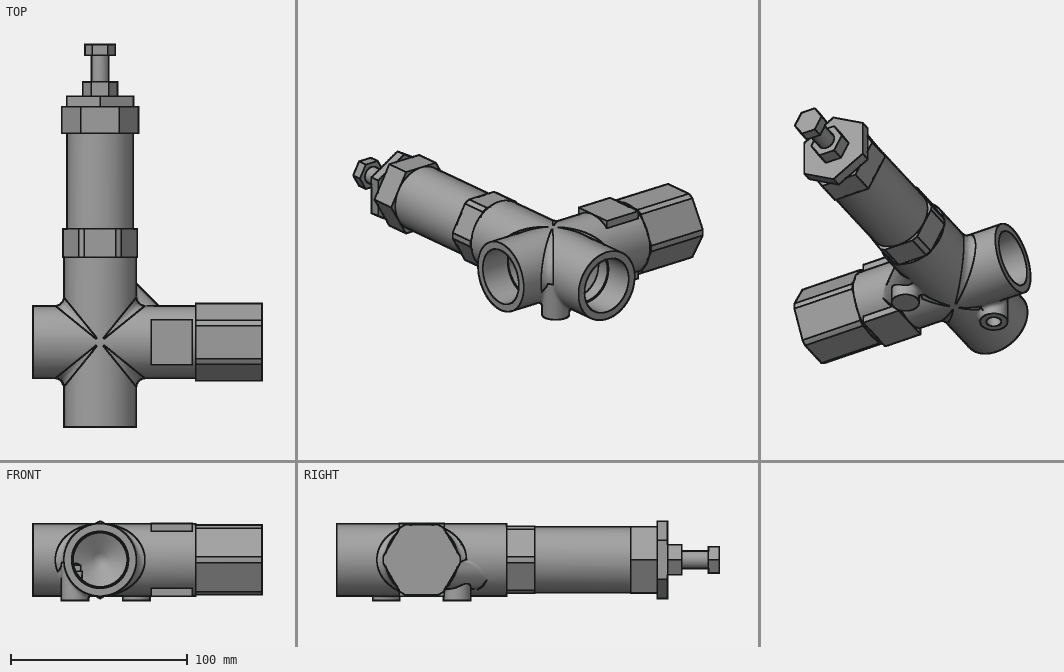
import cadquery as cq
import math

pipe_radius = 20.5
y_pipe_start = -48.0
y_pipe_end = 48.0
x_pipe_start = -38.0
x_pipe_end = 54.0
crotch_fillet = 5.0
blend_start = 3.0
blend_trim = 0.97

socket_thread_radius = 16.1
socket_thread_depth = 18.0
socket_drill_radius = 15.3
socket_drill_depth = 26.0
drill_tip_angle = 118.0

branch_hex_flats = 39.5
branch_hex_length = 37.54
branch_hex_round_radius = 21.85
pad_start = 29.0
pad_length = 23.0
pad_width = 25.4
pad_half_height = 20.6

collar_end = 64.0
barrel_end = 118.0
bonnet_end = 133.0
locknut_end = 139.0
stem_nut_end = 147.0
shank_end = 162.0
bolt_end = 168.15
collar_flats = 38.0
collar_round_radius = 21.0
barrel_radius = 18.75
bonnet_flats = 37.6
locknut_flats = 37.95
stem_nut_flats = 17.1
shank_radius = 5.0
bolt_head_flats = 15.0

boss_radius = 7.75
boss_bottom = -23.0
branch_fillet = 2.0
drilled_boss_centre = (-14.3, -20.0)
drilled_boss_top = -1.5
plain_boss_centre = (20.5, 20.0)
web_centre = 21.35
web_radius = boss_radius
web_height = -8.75
web_half_length = 14.0
port_thread_radius = 4.2
port_thread_depth = 16.5
port_drill_radius = 3.3
port_drill_depth = 19.8


def along_y(start, end):
    """Workplane at y = start, facing +Y with its X direction up, and the distance to y = end."""
    plane = cq.Plane(origin=(0, start, 0), xDir=(0, 0, 1), normal=(0, 1, 0))
    return cq.Workplane(plane), end - start


def along_x(start, end):
    """Workplane at x = start, facing +X with its X direction up, and the distance to x = end."""
    plane = cq.Plane(origin=(start, 0, 0), xDir=(0, 0, 1), normal=(1, 0, 0))
    return cq.Workplane(plane), end - start


def rod_y(radius, start, end):
    plane, length = along_y(start, end)
    return plane.circle(radius).extrude(length)


def rod_x(radius, start, end):
    plane, length = along_x(start, end)
    return plane.circle(radius).extrude(length)


def corner_diameter(flats):
    """Diameter across the corners of a hexagon with this distance across its flats."""
    return flats / math.cos(math.pi / 6)


def hex_y(flats, start, end, corner_up=False):
    """Hexagonal prism along Y with either a flat or a corner facing up."""
    plane, length = along_y(start, end)
    turn = 0 if corner_up else 30
    turned = plane.transformed(rotate=(0, 0, turn))
    return turned.polygon(6, corner_diameter(flats)).extrude(length)


def cross_pipes():
    y_pipe = rod_y(pipe_radius, y_pipe_start, y_pipe_end)
    x_pipe = rod_x(pipe_radius, x_pipe_start, x_pipe_end)
    return y_pipe.union(x_pipe)


def crotch_filler(angle):
    """Rolling-ball blend of the pipe corner lying at this angle around Z.

    The ball centre runs along an ellipse in the vertical plane at that angle.  Seen along Z
    the blend fills the wedge between the lines on which the ball touches the two pipes.
    """
    path_half_height = pipe_radius + crotch_fillet
    path_half_width = path_half_height * math.sqrt(2)
    touch_angle = math.pi / 4 - math.atan(pipe_radius / path_half_height)
    spread_ratio = blend_trim * math.tan(touch_angle)
    inner_spread = blend_start * spread_ratio
    outer_spread = path_half_width * spread_ratio

    wedge = (
        cq.Workplane("XY", origin=(0, 0, -path_half_height))
        .polyline([
            (blend_start, -inner_spread),
            (path_half_width, -outer_spread),
            (path_half_width, outer_spread),
            (blend_start, inner_spread),
        ])
        .close()
        .extrude(2 * path_half_height)
    )
    path = cq.Workplane("XZ").ellipse(path_half_width, path_half_height)
    inside_path = path.extrude(outer_spread, both=True)
    ball_section = cq.Workplane("YZ", origin=(0, 0, path_half_height)).circle(crotch_fillet)
    ball_track = ball_section.sweep(path)
    filler = wedge.intersect(inside_path).cut(ball_track)
    return filler.rotate((0, 0, 0), (0, 0, 1), angle)


def stem():
    """Collar, barrel, bonnet, locknut, stem nut and bolt, one after the other along +Y."""
    collar = hex_y(collar_flats, y_pipe_end, collar_end)
    stack = collar.intersect(rod_y(collar_round_radius, y_pipe_end, collar_end))
    parts = [
        rod_y(barrel_radius, collar_end, barrel_end),
        hex_y(bonnet_flats, barrel_end, bonnet_end),
        hex_y(locknut_flats, bonnet_end, locknut_end, corner_up=True),
        hex_y(stem_nut_flats, locknut_end, stem_nut_end),
        rod_y(shank_radius, stem_nut_end, shank_end),
        hex_y(bolt_head_flats, shank_end, bolt_end),
    ]
    for part in parts:
        stack = stack.union(part)
    return stack


def branch_hex():
    """Hexagon along X with its corners turned down and a flat facing up."""
    hex_end = x_pipe_end + branch_hex_length
    plane, length = along_x(x_pipe_end, hex_end)
    turned = plane.transformed(rotate=(0, 0, 30))
    hexagon = turned.polygon(6, corner_diameter(branch_hex_flats)).extrude(length)
    return hexagon.intersect(rod_x(branch_hex_round_radius, x_pipe_end, hex_end))


def wrench_pads():
    """Block through the +X branch that leaves a flat pad above and below."""
    block = cq.Workplane("XY").box(pad_length, pad_width, 2 * pad_half_height)
    return block.translate((pad_start + pad_length / 2, 0, 0))


def corner_web():
    plane = cq.Plane(origin=(web_centre, web_centre, web_height), xDir=(0, 0, 1), normal=(1, -1, 0))
    return cq.Workplane(plane).circle(web_radius).extrude(web_half_length, both=True)


def boss(centre, top):
    base = cq.Workplane("XY", origin=(*centre, boss_bottom))
    return base.circle(boss_radius).extrude(top - boss_bottom)


def blended(pipe, branch):
    """Pipe and branch joined, with a fillet along their curved meeting line."""
    joined = pipe.union(branch)
    meeting = [edge for edge in joined.edges().vals() if edge.geomType() == "BSPLINE"]
    return joined.newObject(meeting).fillet(branch_fillet)


def stepped_hole(thread_radius, thread_depth, drill_radius, drill_depth):
    """Blind hole from the origin along +Y: wide thread bore, narrower drill bore, drill tip."""
    tip_length = drill_radius / math.tan(math.radians(drill_tip_angle / 2))
    outline = cq.Workplane("YZ").polyline([
        (0, 0),
        (0, thread_radius),
        (thread_depth, thread_radius),
        (thread_depth, drill_radius),
        (drill_depth, drill_radius),
        (drill_depth + tip_length, 0),
    ]).close()
    return outline.revolve(360, (0, 0, 0), (1, 0, 0))


def socket():
    return stepped_hole(socket_thread_radius, socket_thread_depth, socket_drill_radius, socket_drill_depth)


def boss_port():
    port = stepped_hole(port_thread_radius, port_thread_depth, port_drill_radius, port_drill_depth)
    upright = port.rotate((0, 0, 0), (1, 0, 0), 90)
    return upright.translate((*drilled_boss_centre, boss_bottom))


body = cross_pipes().union(stem()).union(branch_hex()).union(wrench_pads())
for corner_angle in (45, 135, 225, 315):
    body = body.union(crotch_filler(corner_angle))

web = corner_web()
body = body.union(blended(rod_y(pipe_radius, 1, 47), web))
body = body.union(blended(rod_x(pipe_radius, 0.5, 47), web))
drilled_boss = boss(drilled_boss_centre, drilled_boss_top)
body = body.union(blended(rod_y(pipe_radius, -45, -1), drilled_boss))
body = body.union(blended(rod_x(pipe_radius, -36, -0.5), drilled_boss))
plain_boss = boss(plain_boss_centre, web_height)
body = body.union(blended(rod_y(pipe_radius, 1, 45), plain_boss))
body = body.union(blended(rod_x(pipe_radius, 0.5, 36), plain_boss))

body = body.cut(socket().translate((0, y_pipe_start, 0)))
body = body.cut(socket().rotate((0, 0, 0), (0, 0, 1), -90).translate((x_pipe_start, 0, 0)))
result = body.cut(boss_port())